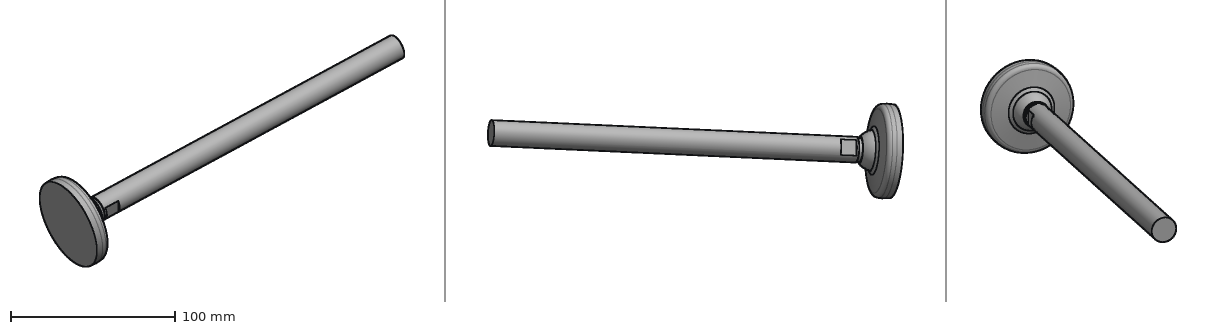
import cadquery as cq
import math

total_length = 252.0

rim_radius = 29.0
sole_radius = 28.7
rim_height = 4.0
shoulder_height = 6.8
shoulder_round = 3.0
collar_base_radius = 14.9
collar_base_height = 11.5
collar_top_height = 13.0

ball_radius = 12.9
ball_center_height = 10.0
seat_floor_height = rim_height
ball_top_height = 20.0

spindle_radius = 16.0 / 2
neck_radius = 7.3
spindle_start = 22.2

flat_start = 23.7
flat_length = 9.8
across_flats = 12.5


def ball_radius_at(height):
    """Radius of the ball's circular section at a height along Y."""
    return math.sqrt(ball_radius**2 - (height - ball_center_height)**2)


ball_equator = (ball_radius, ball_center_height)
seat_floor_radius = ball_radius_at(seat_floor_height)
seat_mouth_radius = ball_radius_at(collar_top_height)
ball_top_radius = ball_radius_at(ball_top_height)


def revolve_about_y(profile):
    return profile.close().revolve(360, (0, 0, 0), (0, 1, 0))


def make_foot():
    """Disc with a tapered rim, a sloping top and a spherical seat."""
    round_diagonal = shoulder_round * math.sqrt(0.5)
    round_center_radius = sole_radius - shoulder_round
    profile = (
        cq.Workplane("XY")
        .lineTo(sole_radius, 0)
        .lineTo(rim_radius, rim_height)
        .lineTo(sole_radius, shoulder_height)
        .threePointArc(
            (round_center_radius + round_diagonal, shoulder_height + round_diagonal),
            (round_center_radius, shoulder_height + shoulder_round),
        )
        .lineTo(collar_base_radius, collar_base_height)
        .lineTo(seat_mouth_radius, collar_top_height)
        .threePointArc(ball_equator, (seat_floor_radius, seat_floor_height))
        .lineTo(0, seat_floor_height)
    )
    return revolve_about_y(profile)


def make_spindle():
    """Long rod with a ball end, a narrow neck and two wrench flats."""
    profile = (
        cq.Workplane("XY")
        .moveTo(0, seat_floor_height)
        .lineTo(seat_floor_radius, seat_floor_height)
        .threePointArc(ball_equator, (ball_top_radius, ball_top_height))
        .lineTo(neck_radius, ball_top_height)
        .lineTo(neck_radius, spindle_start)
        .lineTo(spindle_radius, spindle_start)
        .lineTo(spindle_radius, total_length)
        .lineTo(0, total_length)
    )
    spindle = revolve_about_y(profile)

    flat_center_height = flat_start + flat_length / 2
    for side in (-1, 1):
        flat_cutter = (
            cq.Workplane("XY")
            .box(spindle_radius, flat_length, 2 * spindle_radius)
            .translate((side * (across_flats + spindle_radius) / 2, flat_center_height, 0))
        )
        spindle = spindle.cut(flat_cutter)
    return spindle


foot = make_foot()
spindle = make_spindle()

result = cq.Compound.makeCompound([foot.val(), spindle.val()])